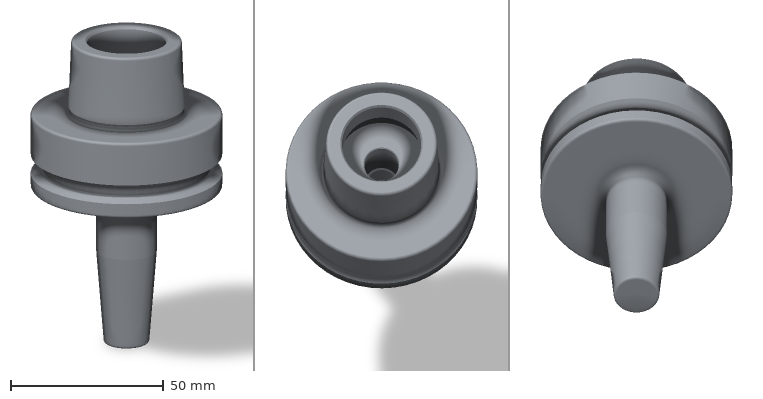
import cadquery as cq
import math

total_height = 105.0
edge_round = 0.9

tip_radius = 7.5
neck_radius = 10.0
nose_taper_height = 31.9
neck_fillet = 2.9

flange_radius = 31.5
flange_bottom = 54.0
flange_top = 80.0
groove_radius = 27.4
groove_step_radius = 28.9
groove_bottom = 58.9
groove_floor_bottom = 60.3
groove_floor_top = 63.8
groove_top = 65.4
groove_fillet = 0.3

shank_base_radius = 19.1
shank_base = 82.1
shank_top_radius = 18.2
relief_radius = 18.7
relief_top = 81.4
relief_fillet = 0.9
relief_depth = 0.2
relief_outer_radius = 20.5

mouth_radius = 13.5
bore_radius = 13.0
mouth_chamfer_height = 0.8
clamp_edge = 94.9
undercut_radius = 14.7
clamp_angle = 30.0
undercut_floor = 85.9

hole_radius = 5.7
hole_chamfer = 0.3
hole_step = 68.2
seat_radius = 4.9
seat_floor_radius = 2.47


def revolve_profile(profile):
    """Turn a closed radius/height outline around Z."""
    return profile.close().revolve(360, (0, 0, 0), (0, 1, 0))


def nose():
    profile = (
        cq.Workplane("XZ")
        .lineTo(tip_radius, 0)
        .lineTo(neck_radius, nose_taper_height)
        .lineTo(neck_radius, flange_bottom - neck_fillet)
        .radiusArc((neck_radius + neck_fillet, flange_bottom), neck_fillet)
        .lineTo(0, flange_bottom)
    )
    return revolve_profile(profile).faces("<Z").edges().fillet(edge_round)


def flange():
    disc = cq.Workplane("XY", origin=(0, 0, flange_bottom)).circle(flange_radius)
    disc = disc.extrude(flange_top - flange_bottom).edges("%CIRCLE").fillet(edge_round)
    groove = (
        cq.Workplane("XZ")
        .moveTo(flange_radius, groove_bottom)
        .lineTo(groove_step_radius, groove_floor_bottom)
        .lineTo(groove_radius + groove_fillet, groove_floor_bottom)
        .radiusArc((groove_radius, groove_floor_bottom + groove_fillet), groove_fillet)
        .lineTo(groove_radius, groove_floor_top - groove_fillet)
        .radiusArc((groove_radius + groove_fillet, groove_floor_top), groove_fillet)
        .lineTo(groove_step_radius, groove_floor_top)
        .lineTo(flange_radius, groove_top)
    )
    return disc.cut(revolve_profile(groove))


def shank():
    profile = (
        cq.Workplane("XZ")
        .moveTo(0, flange_bottom)
        .lineTo(relief_radius, flange_bottom)
        .lineTo(relief_radius, relief_top)
        .lineTo(shank_base_radius, shank_base)
        .lineTo(shank_top_radius, total_height)
        .lineTo(0, total_height)
    )
    return revolve_profile(profile).faces(">Z").edges().fillet(edge_round)


def face_relief():
    """Shallow ring sunk into the flange face, with a rounded inner corner."""
    relief_floor = flange_top - relief_depth
    profile = (
        cq.Workplane("XZ")
        .moveTo(relief_outer_radius, flange_top)
        .lineTo(relief_radius + relief_fillet, relief_floor)
        .lineTo(relief_radius, relief_floor)
        .lineTo(relief_radius, flange_top)
    )
    return revolve_profile(profile)


def relief_corner():
    """Concave corner ring between the relief floor and the shank."""
    relief_floor = flange_top - relief_depth
    profile = (
        cq.Workplane("XZ")
        .moveTo(relief_radius, relief_floor)
        .lineTo(relief_radius, relief_floor + relief_fillet)
        .radiusArc((relief_radius + relief_fillet, relief_floor), -relief_fillet)
    )
    return revolve_profile(profile)


def bore():
    clamp_drop = (undercut_radius - bore_radius) * math.tan(math.radians(clamp_angle))
    seat_floor = hole_step - (seat_radius - seat_floor_radius)
    profile = (
        cq.Workplane("XZ")
        .moveTo(0, total_height)
        .lineTo(mouth_radius, total_height)
        .lineTo(bore_radius, total_height - mouth_chamfer_height)
        .lineTo(bore_radius, clamp_edge)
        .lineTo(undercut_radius, clamp_edge - clamp_drop)
        .lineTo(undercut_radius, undercut_floor)
        .lineTo(hole_radius + hole_chamfer, undercut_floor)
        .lineTo(hole_radius, undercut_floor - hole_chamfer)
        .lineTo(hole_radius, hole_step)
        .lineTo(seat_radius, hole_step)
        .lineTo(seat_floor_radius, seat_floor)
        .lineTo(0, seat_floor)
    )
    return revolve_profile(profile)


body = flange().cut(face_relief())
result = body.union(nose()).union(shank()).union(relief_corner()).cut(bore())